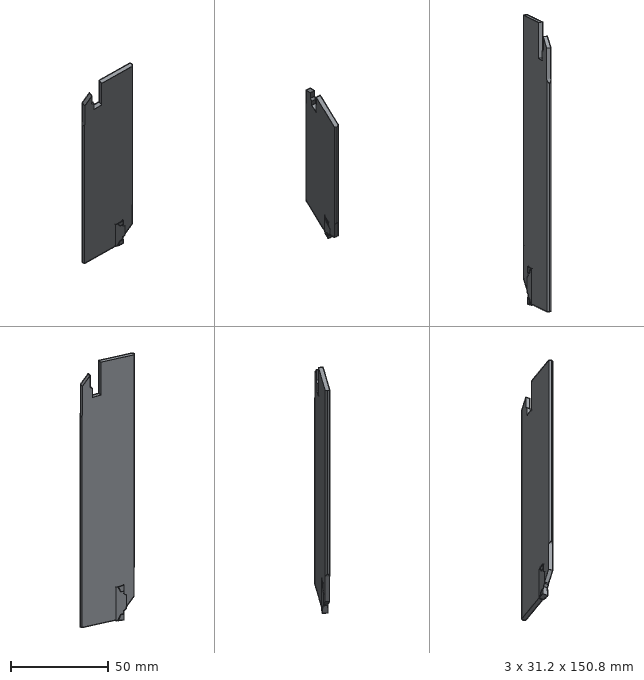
import cadquery as cq


blade_length = 150.0
blade_width = 31.2
blade_thickness = 2.4
vee_depth = 0.6

seat_back = 19.9
shoulder_across = 24.6
ridge_across = 26.0
end_slope = 0.3
tip_overhang = 0.8
insert_length = 19.9
ridge_half_length = 3.9
shoulder_half_length = 5.0
insert_middle = insert_length / 2 - tip_overhang

finger_across = 30.5
finger_tip = 6.2
finger_slope_end = 11.5
relief_start = 27.7
relief_end = 30.2

insert_width = 3.0
wing_height = (insert_width - blade_thickness) / 2
wing_front_root = 21.0
wing_front_crest = 21.4
wing_back_across = 22.6
wing_back_along = 2.5
wing_heel_root = 3.0
wing_heel_crest = 2.5


def to_blade(point):
    """Turn an (across, along) point into Y and Z about the blade centre."""
    across, along = point
    return (across - blade_width / 2, along - blade_length / 2)


def opposite(points):
    """Turn Y-Z points half a turn about the blade centre."""
    return [(-y, -z) for y, z in points]


def plate(points, thickness):
    """Extrude a Y-Z outline evenly to both sides of X = 0."""
    return cq.Workplane("YZ").polyline(points).close().extrude(thickness / 2, both=True)


def make_blade():
    pocket_floor = insert_middle + insert_length / 2
    lower_end = [
        (0, 0),
        (seat_back, 0),
        (seat_back, pocket_floor - end_slope),
        (shoulder_across, pocket_floor),
        (shoulder_across, insert_middle + shoulder_half_length),
        (ridge_across, insert_middle + ridge_half_length),
        (ridge_across, finger_tip),
        (finger_across, finger_slope_end),
        (finger_across, relief_start),
        (blade_width, relief_end),
    ]
    lower_points = [to_blade(point) for point in lower_end]
    body = plate(lower_points + opposite(lower_points), blade_thickness)

    half_thickness = blade_thickness / 2
    half_width = blade_width / 2
    flat_half_width = half_width - vee_depth
    section = [
        (0, -half_width),
        (half_thickness, -flat_half_width),
        (half_thickness, flat_half_width),
        (0, half_width),
        (-half_thickness, flat_half_width),
        (-half_thickness, -flat_half_width),
    ]
    bar = cq.Workplane("XY").polyline(section).close().extrude(blade_length / 2, both=True)
    return body.intersect(bar)


def make_wing():
    """Wing on the +X face of the lower cutting head, tapering to its outer face."""
    tip = (shoulder_across, -tip_overhang)
    slope = end_slope / (shoulder_across - seat_back)
    root_along = -tip_overhang + slope * (shoulder_across - wing_front_root)
    crest_along = -tip_overhang + slope * (shoulder_across - wing_front_crest)
    back = (wing_back_across, wing_back_along)
    root = [tip, (wing_front_root, root_along), back, (shoulder_across, wing_heel_root)]
    crest = [tip, (wing_front_crest, crest_along), back, (shoulder_across, wing_heel_crest)]
    return (
        cq.Workplane("YZ", origin=(blade_thickness / 2, 0, 0))
        .polyline([to_blade(point) for point in root]).close()
        .workplane(offset=wing_height)
        .polyline([to_blade(point) for point in crest]).close()
        .loft(ruled=True)
    )


def make_insert():
    lower_half = [
        (seat_back, end_slope - tip_overhang),
        (shoulder_across, -tip_overhang),
        (shoulder_across, insert_middle - shoulder_half_length),
        (ridge_across, insert_middle - ridge_half_length),
    ]
    upper_half = [(across, 2 * insert_middle - along) for across, along in reversed(lower_half)]
    body = plate([to_blade(point) for point in lower_half + upper_half], blade_thickness)

    middle_plane = (0, 0, insert_middle - blade_length / 2)
    lower_wing = make_wing()
    for wing in (lower_wing, lower_wing.mirror("XY", middle_plane)):
        body = body.union(wing).union(wing.mirror("YZ"))
    return body


blade = make_blade()
insert = make_insert()

result = cq.Compound.makeCompound([*blade.solids().vals(), *insert.solids().vals()])